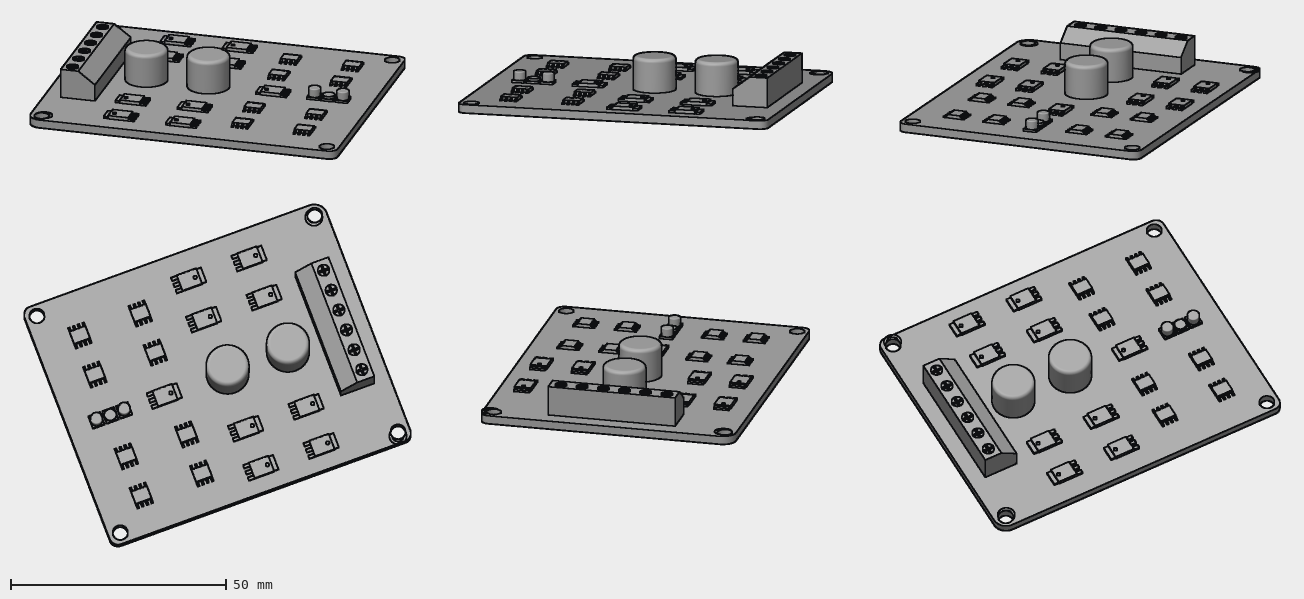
import cadquery as cq

BOARD_LENGTH = 74.6
BOARD_WIDTH = 60.7
BOARD_THICKNESS = 2.0
CORNER_RADIUS = 2.0
FRONT_LEFT_CORNER_RADIUS = 3.1
MOUNT_HOLE_DIAMETER = 3.5
MOUNT_HOLE_X = 34.5
MOUNT_HOLE_Y = 27.7

PAD_DIAMETER = 4.0
PAD_HOLE_DIAMETER = 2.7
PAD_THICKNESS = 0.04
PAD_OVERHANG = 0.3
PAD_X = -34.1
REAR_PAD_Y = BOARD_WIDTH / 2 + PAD_OVERHANG - PAD_DIAMETER / 2
FRONT_PAD_Y = -27.25

LAYOUT_Y = 0.7
COLUMN_PITCH = 15.0
ROW_PITCH = 10.0

TERMINAL_COUNT = 6
TERMINAL_PITCH = 5.1
TERMINAL_LEFT_X = -33.35
TERMINAL_CENTRE_Y = -0.3
TERMINAL_DEPTH = 8.3
TERMINAL_HEIGHT = 7.0
TERMINAL_TOP_DEPTH = 4.25
TERMINAL_LIP_HEIGHT = 4.0
SCREW_DIAMETER = 2.7
SCREW_INSET = 2.2
SCREW_RECESS = 0.15
SCREW_SLOT_WIDTH = 0.4
SCREW_SLOT_DEPTH = 0.3

CAPACITOR_DIAMETER = 10.0
CAPACITOR_HEIGHT = 8.0
CAPACITOR_FILLET = 0.9
CAPACITOR_X = -17.25

CHIP_HEIGHT = 0.8
TRANSISTOR_X = -16.7
TRANSISTOR_ROW_OFFSET = 13.95
TRANSISTOR_LENGTH = 4.85
TRANSISTOR_WIDTH = 3.95
TAB_LENGTH = 1.1
TAB_WIDTH = 3.65
TRANSISTOR_LEAD_COUNT = 3
TRANSISTOR_LEAD_LENGTH = 1.4
TRANSISTOR_LEAD_WIDTH = 0.8
TRANSISTOR_LEAD_HEIGHT = 0.45
DOT_DIAMETER = 0.8
DOT_INSET = 1.0
DOT_DEPTH = 0.15

DRIVER_X = 11.8
DRIVER_ROW_OFFSET = 10.45
DRIVER_LENGTH = 3.95
DRIVER_WIDTH = 3.1
DRIVER_SPAN = 5.2
DRIVER_LEADS_PER_SIDE = 4
DRIVER_LEAD_WIDTH = 0.45
DRIVER_LEAD_SHOULDER = 0.7
DRIVER_FOOT_LENGTH = 0.45
DRIVER_FOOT_HEIGHT = 0.2

BUTTON_X = 26.9
BUTTON_PITCH = 3.4
BUTTON_BASE_LENGTH = 2.9
BUTTON_BASE_WIDTH = 3.1
BUTTON_BASE_HEIGHT = 0.5
BUTTON_DIAMETER = 2.8
BUTTON_HEIGHT = 2.55
BUTTON_FILLET = 0.2
LOW_BUTTON_HEIGHT = 1.1


def centred_positions(count, pitch):
    """Evenly spaced offsets, symmetric about zero."""
    return [(i - (count - 1) / 2) * pitch for i in range(count)]


def mirrored_rows(inner_offset):
    """Y places of four rows: an inner and an outer pair either side of the layout line."""
    outer_offset = inner_offset + ROW_PITCH
    return [LAYOUT_Y + side * offset for side in (-1, 1) for offset in (inner_offset, outer_offset)]


def block(length, width, height, x, y):
    """Box standing on the XY plane, centred on (x, y)."""
    return cq.Workplane("XY").center(x, y).rect(length, width).extrude(height)


def cylinder(diameter, height, x, y):
    """Round post standing on the XY plane, centred on (x, y)."""
    return cq.Workplane("XY").center(x, y).circle(diameter / 2).extrude(height)


def make_board():
    board = block(BOARD_LENGTH, BOARD_WIDTH, BOARD_THICKNESS, 0, 0)
    board = board.edges("|Z and (>X or >Y)").fillet(CORNER_RADIUS)
    front_left_corner = cq.selectors.NearestToPointSelector(
        (-BOARD_LENGTH / 2, -BOARD_WIDTH / 2, BOARD_THICKNESS / 2)
    )
    return board.edges("|Z").edges(front_left_corner).fillet(FRONT_LEFT_CORNER_RADIUS)


def make_pad(y):
    pad = cq.Workplane("XY").center(PAD_X, y).circle(PAD_DIAMETER / 2).circle(PAD_HOLE_DIAMETER / 2)
    return pad.extrude(PAD_THICKNESS)


def make_mount_holes():
    holes = cq.Workplane("XY").rect(2 * MOUNT_HOLE_X, 2 * MOUNT_HOLE_Y, forConstruction=True).vertices()
    return holes.circle(MOUNT_HOLE_DIAMETER / 2).extrude(BOARD_THICKNESS + 2 * PAD_THICKNESS)


def make_terminal(y):
    """One terminal cell: sloped housing with a sunken cross-slotted screw."""
    profile = [
        (0, 0),
        (TERMINAL_DEPTH, 0),
        (TERMINAL_DEPTH, TERMINAL_LIP_HEIGHT),
        (TERMINAL_TOP_DEPTH, TERMINAL_HEIGHT),
        (0, TERMINAL_HEIGHT),
    ]
    housing = cq.Workplane("XZ").polyline(profile).close().extrude(TERMINAL_PITCH / 2, both=True)
    recess_floor = TERMINAL_HEIGHT - SCREW_RECESS
    recess = cylinder(SCREW_DIAMETER, SCREW_RECESS, SCREW_INSET, 0).translate((0, 0, recess_floor))
    slot_x = block(SCREW_DIAMETER, SCREW_SLOT_WIDTH, SCREW_SLOT_DEPTH, SCREW_INSET, 0)
    slot_y = block(SCREW_SLOT_WIDTH, SCREW_DIAMETER, SCREW_SLOT_DEPTH, SCREW_INSET, 0)
    cross = slot_x.union(slot_y).translate((0, 0, recess_floor - SCREW_SLOT_DEPTH))
    cross = cross.intersect(cylinder(SCREW_DIAMETER, TERMINAL_HEIGHT, SCREW_INSET, 0))
    return housing.cut(recess).cut(cross).translate((TERMINAL_LEFT_X, y, 0))


def make_capacitor(x):
    can = cylinder(CAPACITOR_DIAMETER, CAPACITOR_HEIGHT, x, LAYOUT_Y)
    return can.faces(">Z").edges().fillet(CAPACITOR_FILLET)


def make_transistor():
    body = block(TRANSISTOR_LENGTH, TRANSISTOR_WIDTH, CHIP_HEIGHT, 0, 0)
    dot = cylinder(DOT_DIAMETER, DOT_DEPTH, DOT_INSET - TRANSISTOR_LENGTH / 2, 0)
    body = body.cut(dot.translate((0, 0, CHIP_HEIGHT - DOT_DEPTH)))
    tab_x = -(TRANSISTOR_LENGTH + TAB_LENGTH) / 2
    body = body.union(block(TAB_LENGTH, TAB_WIDTH, TRANSISTOR_LEAD_HEIGHT, tab_x, 0))
    lead_x = (TRANSISTOR_LENGTH + TRANSISTOR_LEAD_LENGTH) / 2
    lead_pitch = (TRANSISTOR_WIDTH - TRANSISTOR_LEAD_WIDTH) / (TRANSISTOR_LEAD_COUNT - 1)
    for y in centred_positions(TRANSISTOR_LEAD_COUNT, lead_pitch):
        lead = block(TRANSISTOR_LEAD_LENGTH, TRANSISTOR_LEAD_WIDTH, TRANSISTOR_LEAD_HEIGHT, lead_x, y)
        body = body.union(lead)
    return body


def make_driver():
    body = block(DRIVER_LENGTH, DRIVER_WIDTH, CHIP_HEIGHT, 0, 0)
    tip = DRIVER_SPAN / 2
    heel = tip - DRIVER_FOOT_LENGTH
    shoulder = DRIVER_WIDTH / 2
    lead_profile = [
        (-tip, 0),
        (tip, 0),
        (tip, DRIVER_FOOT_HEIGHT),
        (heel, DRIVER_FOOT_HEIGHT),
        (shoulder, DRIVER_LEAD_SHOULDER),
        (-shoulder, DRIVER_LEAD_SHOULDER),
        (-heel, DRIVER_FOOT_HEIGHT),
        (-tip, DRIVER_FOOT_HEIGHT),
    ]
    lead_pair = cq.Workplane("YZ").polyline(lead_profile).close().extrude(DRIVER_LEAD_WIDTH / 2, both=True)
    lead_pitch = (DRIVER_LENGTH - DRIVER_LEAD_WIDTH) / (DRIVER_LEADS_PER_SIDE - 1)
    for x in centred_positions(DRIVER_LEADS_PER_SIDE, lead_pitch):
        body = body.union(lead_pair.translate((x, 0, 0)))
    return body


def make_button(x, height):
    base = block(BUTTON_BASE_LENGTH, BUTTON_BASE_WIDTH, BUTTON_BASE_HEIGHT, x, LAYOUT_Y)
    cap = cylinder(BUTTON_DIAMETER, height, x, LAYOUT_Y)
    if height > LOW_BUTTON_HEIGHT:
        cap = cap.faces(">Z").edges().fillet(BUTTON_FILLET)
    return base.union(cap)


components = [make_pad(y) for y in (FRONT_PAD_Y, REAR_PAD_Y)]

for offset in centred_positions(TERMINAL_COUNT, TERMINAL_PITCH):
    components.append(make_terminal(TERMINAL_CENTRE_Y + offset))

for column in range(2):
    components.append(make_capacitor(CAPACITOR_X + column * COLUMN_PITCH))

transistor = make_transistor()
for column in range(2):
    for y in mirrored_rows(TRANSISTOR_ROW_OFFSET):
        components.append(transistor.translate((TRANSISTOR_X + column * COLUMN_PITCH, y, 0)))
components.append(transistor.translate((TRANSISTOR_X + 2 * COLUMN_PITCH, LAYOUT_Y, 0)))

driver = make_driver()
for column in range(2):
    for y in mirrored_rows(DRIVER_ROW_OFFSET):
        components.append(driver.translate((DRIVER_X + column * COLUMN_PITCH, y, 0)))

button_heights = (BUTTON_HEIGHT, LOW_BUTTON_HEIGHT, BUTTON_HEIGHT)
for offset, height in zip(centred_positions(len(button_heights), BUTTON_PITCH), button_heights):
    components.append(make_button(BUTTON_X + offset, height))

result = make_board()
for component in components:
    result = result.union(component.translate((0, 0, BOARD_THICKNESS)), clean=False)
result = result.cut(make_mount_holes(), clean=False)